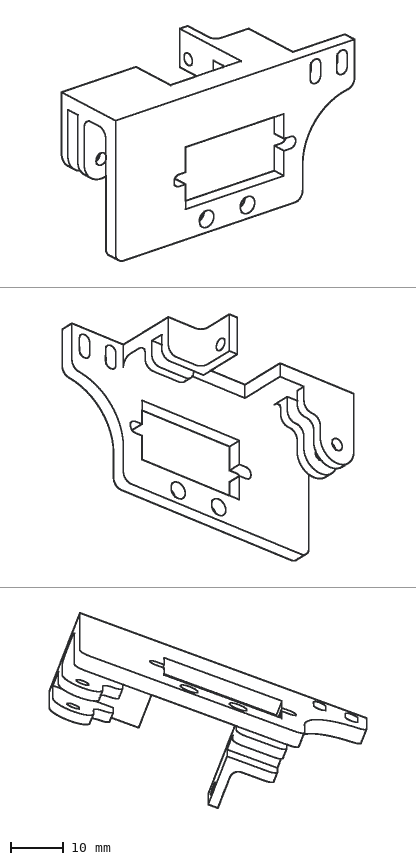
import cadquery as cq
import math


length = 58.4
height = 30.0
total_depth = 24.65
thickness = 3.0
corner_radius = 2.0

plate_lower_length = 45.75
sweep_top = -9.95
window_center_y = 29.15
window_center_z = -17.1
window_length = 24.0
window_height = 13.0
window_slot_length = 29.75
small_diameter = 2.5
screw_diameter = 3.5
screw_ys = (22.25, 32.25)
screw_z = -27.15
tab_slot_ys = (48.85, 55.3)
tab_slot_z = -3.9
tab_slot_length = 5.1

block_depth = 16.5
wall_thickness = 2.0
fork_gap = 3.0
block_drop = 8.1
front_block_length = 12.3
lug_radius = 4.15
lug_center_z = -12.75

opening_front_y = 18.2
flange_front_y = 35.45
rail_depth = 5.95
flange_thickness = 2.0
flange_root_radius = 1.7
flange_hole_x = -22.0
flange_hole_z = -5.5

flange_back_y = flange_front_y + flange_thickness
fork_gap_x = -block_depth + wall_thickness
arch_x = fork_gap_x + fork_gap + wall_thickness
arch_width = -thickness - arch_x
diagonal = math.sqrt(0.5)


def box(x0, x1, y0, y1, z0, z1):
    """Box between opposite corner coordinates."""
    return cq.Workplane("XY").box(x1 - x0, y1 - y0, z1 - z0, centered=False).translate((x0, y0, z0))


def side_profile(x):
    """Sketch plane facing +X: local coordinates are Y and Z."""
    return cq.Workplane("YZ", origin=(x, 0, 0))


def make_plate():
    """Side plate with a raised rear tab and a concave quarter-round below it."""
    sweep_radius = length - plate_lower_length
    sweep_center_z = sweep_top - sweep_radius
    plate = (
        side_profile(-thickness)
        .moveTo(0, 0)
        .lineTo(length, 0)
        .lineTo(length, sweep_top)
        .threePointArc(
            (length - sweep_radius * diagonal, sweep_center_z + sweep_radius * diagonal),
            (plate_lower_length, sweep_center_z),
        )
        .lineTo(plate_lower_length, -height)
        .lineTo(0, -height)
        .close()
        .extrude(thickness)
    )
    plate = plate.edges("|X and <Z").fillet(corner_radius)
    tab_corner = cq.selectors.NearestToPointSelector((-thickness / 2, length, sweep_top))
    return plate.edges(tab_corner).fillet(corner_radius)


def plate_cutouts():
    """Servo window with end slots, two screw holes and two adjusting slots."""
    window = (
        side_profile(-thickness)
        .center(window_center_y, window_center_z)
        .rect(window_length, window_height)
        .extrude(thickness)
    )
    end_slots = (
        side_profile(-thickness)
        .center(window_center_y, window_center_z)
        .slot2D(window_slot_length, small_diameter)
        .extrude(thickness)
    )
    screws = (
        side_profile(-thickness)
        .pushPoints([(y, screw_z) for y in screw_ys])
        .circle(screw_diameter / 2)
        .extrude(thickness)
    )
    tab_slots = (
        side_profile(-thickness)
        .pushPoints([(y, tab_slot_z) for y in tab_slot_ys])
        .slot2D(tab_slot_length, small_diameter, 90)
        .extrude(thickness)
    )
    return window.union(end_slots).union(screws).union(tab_slots)


def make_front_block():
    """Block whose stepped underside ends in a rounded pivot lug."""
    lug_back_y = 2 * lug_radius
    step_middle_y = (front_block_length + lug_back_y) / 2
    step_radius = step_middle_y - lug_back_y
    step_offset = step_radius * (1 - diagonal)
    return (
        side_profile(-block_depth)
        .moveTo(0, 0)
        .lineTo(front_block_length, 0)
        .lineTo(front_block_length, -block_drop + step_radius)
        .threePointArc(
            (front_block_length - step_offset, -block_drop + step_offset),
            (step_middle_y, -block_drop),
        )
        .threePointArc(
            (lug_back_y + step_offset, -block_drop - step_offset),
            (lug_back_y, -block_drop - step_radius),
        )
        .lineTo(lug_back_y, lug_center_z)
        .threePointArc((lug_radius, lug_center_z - lug_radius), (0, lug_center_z))
        .close()
        .extrude(block_depth)
    )


def make_rear_block():
    """Rear block, flush at the front with the thin flange that stands out from its outer wall."""
    outer_wall = box(-block_depth, fork_gap_x, flange_front_y, plate_lower_length, -block_drop, 0)
    outer_wall = outer_wall.edges("|X and >Y and <Z").fillet(corner_radius)
    inner_part = box(fork_gap_x, 0, flange_front_y, plate_lower_length, -block_drop, 0)
    inner_part = inner_part.edges("|X and <Z").fillet(corner_radius)
    block = outer_wall.union(inner_part)
    flange = box(-total_depth, fork_gap_x, flange_front_y, flange_back_y, -block_drop, 0)
    flange_root = cq.selectors.NearestToPointSelector((-block_depth, flange_back_y, -block_drop / 2))
    return block.union(flange).edges(flange_root).fillet(flange_root_radius)


def fork_cutouts():
    """Fork gap and round-topped arch running along the whole part below the top web."""
    reach = lug_radius - lug_center_z
    gap = box(fork_gap_x, fork_gap_x + fork_gap, 0, length, -reach, -thickness)
    arch = box(arch_x, arch_x + arch_width, 0, length, -reach, -thickness)
    return gap.union(arch.edges("|Y and >Z").fillet(corner_radius))


def make_rail():
    """Top web between the blocks, deep enough to include the arch fillet at the plate."""
    rail = box(-rail_depth, 0, 0, plate_lower_length, -thickness - corner_radius, 0)
    shelf = box(-block_depth, 0, 0, opening_front_y, -thickness, 0)
    return rail.union(shelf)


pivot_hole = side_profile(-block_depth).center(lug_radius, lug_center_z)
pivot_hole = pivot_hole.circle(small_diameter / 2).extrude(block_depth - thickness)

flange_hole = (
    cq.Workplane("XZ", origin=(0, flange_back_y, 0))
    .center(flange_hole_x, flange_hole_z)
    .circle(small_diameter / 2)
    .extrude(flange_thickness)
)

webs = make_rail().union(make_front_block()).union(make_rear_block()).cut(fork_cutouts())
result = make_plate().union(webs).cut(plate_cutouts()).cut(pivot_hole).cut(flange_hole)